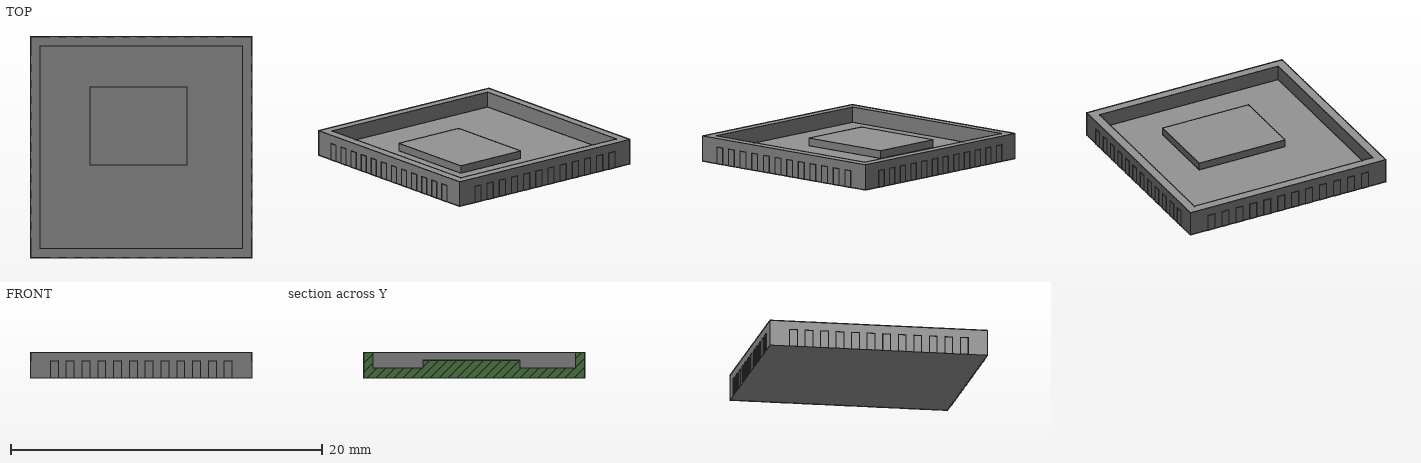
import cadquery as cq

overall_size = 14.26
overall_height = 1.66
pad_relief = 0.02
body_size = overall_size - 2 * pad_relief
rim_width = 0.61
cavity_depth = 1.0
cavity_size = body_size - 2 * rim_width
floor_height = overall_height - cavity_depth

die_length = 6.25
die_width = 5.0
die_thickness = 0.5
die_center_x = -0.18
die_center_y = 1.36

side_count = 4
pads_per_side = 12
pad_pitch = 1.016
pad_width = 0.51
pad_height = 1.1
pad_embed = 0.3


def block(length, width, height, center_x, center_y, bottom):
    """Upright box placed by its plan centre and its bottom height."""
    box = cq.Workplane("XY").box(length, width, height, centered=(True, True, False))
    return box.translate((center_x, center_y, bottom))


def make_tray():
    body = block(body_size, body_size, overall_height, 0, 0, 0)
    cavity = block(cavity_size, cavity_size, cavity_depth, 0, 0, floor_height)
    return body.cut(cavity)


def make_die():
    return block(die_length, die_width, die_thickness, die_center_x, die_center_y, floor_height)


def make_pad_row():
    """List of pads along the -Y side, reaching the outer size."""
    depth = pad_embed + pad_relief
    center_y = -overall_size / 2 + depth / 2
    first_x = -pad_pitch * (pads_per_side - 1) / 2
    pads = []
    for index in range(pads_per_side):
        center_x = first_x + index * pad_pitch
        pads.append(block(pad_width, depth, pad_height, center_x, center_y, 0))
    return pads


part = make_tray().union(make_die())
for side in range(side_count):
    side_angle = side * 360 / side_count
    for pad in make_pad_row():
        part = part.union(pad.rotate((0, 0, 0), (0, 0, 1), side_angle))

result = part